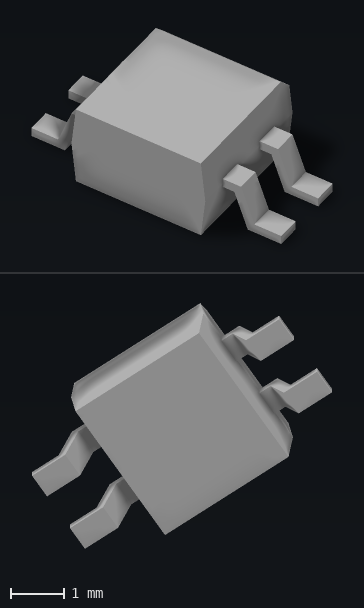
import cadquery as cq

body_width = 3.0
body_length = 3.0
body_height = 1.8
side_taper = 0.1
edge_chamfer = 0.25

lead_span = 5.6
lead_thickness = 0.2
lead_width = 0.5
lead_pitch = 1.27
foot_top_length = 0.6
foot_bottom_length = 0.75
shoulder_top_x = 1.9
lead_embed = 0.3

parting_z = body_height / 2
shoulder_top_z = parting_z + lead_thickness / 2
shoulder_bottom_z = parting_z - lead_thickness / 2
shoulder_bottom_x = shoulder_top_x - (foot_bottom_length - foot_top_length)


def make_body():
    """Body tapering away from its parting line, with one chamfered top edge."""
    half_mid = body_width / 2
    half_end = half_mid - side_taper
    outline = [
        (-half_end, 0),
        (half_end, 0),
        (half_mid, parting_z),
        (half_end, body_height),
        (-half_end, body_height),
        (-half_mid, parting_z),
    ]
    body = cq.Workplane("XZ").polyline(outline).close().extrude(body_length / 2, both=True)
    return body.faces(">Z").edges(">Y").chamfer(edge_chamfer)


def make_lead(y_center):
    """Lead on the +X side, centred on the given Y."""
    tip_x = lead_span / 2
    root_x = body_width / 2 - lead_embed
    outline = [
        (root_x, shoulder_bottom_z),
        (shoulder_bottom_x, shoulder_bottom_z),
        (tip_x - foot_bottom_length, 0),
        (tip_x, 0),
        (tip_x, lead_thickness),
        (tip_x - foot_top_length, lead_thickness),
        (shoulder_top_x, shoulder_top_z),
        (root_x, shoulder_top_z),
    ]
    lead = cq.Workplane("XZ").polyline(outline).close().extrude(lead_width / 2, both=True)
    return lead.translate((0, y_center, 0))


result = make_body()
for y_center in (-lead_pitch / 2, lead_pitch / 2):
    lead = make_lead(y_center)
    result = result.union(lead).union(lead.mirror("YZ"))